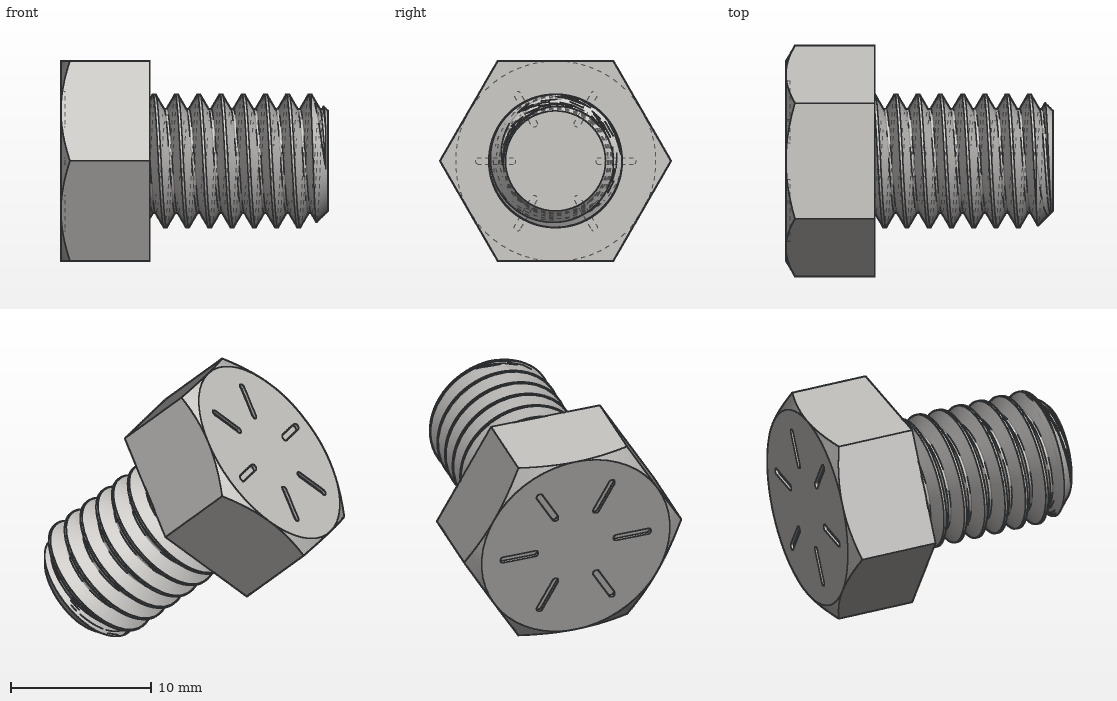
import cadquery as cq
import math

HEAD_HEIGHT = 6.35
ACROSS_FLATS = 14.2875
ACROSS_CORNERS = ACROSS_FLATS / math.cos(math.pi / 6)
HEAD_CHAMFER_ANGLE = math.radians(30)

MARK_COUNT = 6
MARK_INNER_RADIUS = 0.2 * ACROSS_FLATS
MARK_OUTER_RADIUS = 0.4 * ACROSS_FLATS
MARK_WIDTH = ACROSS_FLATS / 30
MARK_DEPTH = 0.254

MAJOR_RADIUS = 9.525 / 2
PITCH = 1.5875
SHANK_LENGTH = 12.7
FLANK_ANGLE = math.radians(30)
FLAT_WIDTH = PITCH / 8
THREAD_DEPTH = (PITCH / 2 - FLAT_WIDTH) / math.tan(FLANK_ANGLE)
MINOR_RADIUS = MAJOR_RADIUS - THREAD_DEPTH
END_CHAMFER = 0.75 * PITCH
FIRST_CREST = 3 / 16 * PITCH
FLAT_HALF_ANGLE = math.pi * FLAT_WIDTH / PITCH
FLANK_STEPS = 12

ENVELOPE_CLEARANCE = 1.0


def make_head():
    """Hexagonal prism with corners on +/-Y, its outer end trimmed by a cone."""
    prism = (
        cq.Workplane("YZ")
        .polygon(6, ACROSS_CORNERS)
        .extrude(-HEAD_HEIGHT)
    )
    flat_radius = ACROSS_FLATS / 2
    corner_radius = ACROSS_CORNERS / 2
    chamfer_length = (corner_radius - flat_radius) * math.tan(HEAD_CHAMFER_ANGLE)
    envelope = (
        cq.Workplane("XY")
        .lineTo(0, corner_radius)
        .lineTo(chamfer_length - HEAD_HEIGHT, corner_radius)
        .lineTo(-HEAD_HEIGHT, flat_radius)
        .lineTo(-HEAD_HEIGHT, 0)
        .close()
        .revolve(360, (0, 0, 0), (1, 0, 0))
    )
    return prism.intersect(envelope)


def make_grade_marks():
    """Round-ended radial slots, evenly spaced around the head face."""
    mark_length = MARK_OUTER_RADIUS - MARK_INNER_RADIUS
    mid_radius = (MARK_OUTER_RADIUS + MARK_INNER_RADIUS) / 2
    return (
        cq.Workplane("YZ", origin=(-HEAD_HEIGHT, 0, 0))
        .polarArray(mid_radius, 0, 360, MARK_COUNT)
        .slot2D(mark_length, MARK_WIDTH)
        .extrude(MARK_DEPTH)
    )


def polar_point(radius, angle):
    """Point in the cross-section plane, the angle measured from the crest."""
    return (radius * math.cos(angle), radius * math.sin(angle))


def flank_points(side):
    """Spiral from crest edge to root edge; the radius falls evenly with angle."""
    points = []
    for step in range(FLANK_STEPS + 1):
        fraction = step / FLANK_STEPS
        radius = MAJOR_RADIUS - THREAD_DEPTH * fraction
        angle = FLAT_HALF_ANGLE + (math.pi - 2 * FLAT_HALF_ANGLE) * fraction
        points.append(polar_point(radius, side * angle))
    return points


def make_thread():
    """Threaded rod: the cross-section of a single-start thread twisted along X."""
    rising_flank = flank_points(1)
    falling_flank = flank_points(-1)[::-1]
    section = (
        cq.Workplane("YZ")
        .moveTo(*falling_flank[-1])
        .threePointArc((MAJOR_RADIUS, 0), rising_flank[0])
        .spline(rising_flank[1:], includeCurrent=True)
        .threePointArc((-MINOR_RADIUS, 0), falling_flank[0])
        .spline(falling_flank[1:], includeCurrent=True)
        .close()
    )
    rod = section.twistExtrude(SHANK_LENGTH, 360 * SHANK_LENGTH / PITCH)
    crest_angle = 90 - 360 * FIRST_CREST / PITCH
    return rod.rotate((0, 0, 0), (1, 0, 0), crest_angle)


def make_shank():
    """Threaded rod with a 45 degree chamfer at its free end."""
    clear_radius = MAJOR_RADIUS + ENVELOPE_CLEARANCE
    end_radius = MAJOR_RADIUS - END_CHAMFER
    chamfer_start = SHANK_LENGTH - (clear_radius - end_radius)
    envelope = (
        cq.Workplane("XY")
        .lineTo(0, clear_radius)
        .lineTo(chamfer_start, clear_radius)
        .lineTo(SHANK_LENGTH, end_radius)
        .lineTo(SHANK_LENGTH, 0)
        .close()
        .revolve(360, (0, 0, 0), (1, 0, 0))
    )
    return make_thread().intersect(envelope)


head = make_head().cut(make_grade_marks())
result = head.union(make_shank())